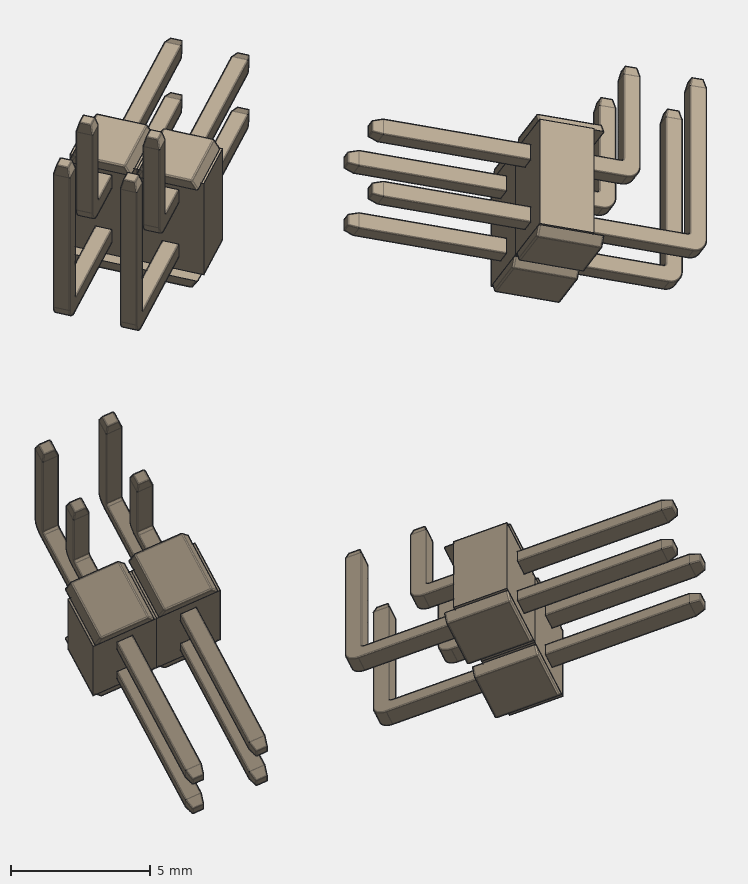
import cadquery as cq


position_count = 2
pitch = 2.54

block_width = pitch
block_depth = 2.08
block_height = 4.25

cap_outer_height = 5.0
cap_depth = 2.5
cap_thickness = (cap_outer_height - block_height) / 2
cap_base_width = 2.36
cap_outer_width = 1.9
cap_fillet = 0.06

pin_width = 0.64
pin_edge_fillet = 0.04
bend_outer_radius = 0.51
bend_inner_radius = 0.1
tip_length = 0.4
tip_end_width = 0.45
pin_rear_y = 6.02
long_leg_front_y = -6.74
pin_top_z = 5.5
long_leg_y = long_leg_front_y + pin_width / 2
short_leg_y = long_leg_y + pitch
upper_tail_z = pitch / 2
lower_tail_z = -pitch / 2
length_tolerance = 0.0001


def row_positions():
    """X of the centre of every position in the row."""
    return [(i - (position_count - 1) / 2) * pitch for i in range(position_count)]


def make_tip(plane):
    """Taper from the full pin section down to the end section, along the plane's normal."""
    return (
        cq.Workplane(plane)
        .rect(pin_width, pin_width)
        .workplane(offset=tip_length)
        .rect(tip_end_width, tip_end_width)
        .loft()
    )


def round_pin(pin):
    """Round every edge that runs along the pin or around its ends.

    The edges left sharp cross the pin, at the ends of the bends and the roots of the tips.
    They are the only edges exactly as long as the pin is wide.
    """
    rounded_edges = pin.edges().filter(lambda edge: abs(edge.Length() - pin_width) > length_tolerance)
    return rounded_edges.fillet(pin_edge_fillet)


def make_pin(x, tail_z, leg_y):
    """L-shaped square pin: a tail along Y at height tail_z, and a leg rising along Z at leg_y."""
    half = pin_width / 2
    shaft_rear_y = pin_rear_y - tip_length
    shaft_top_z = pin_top_z - tip_length

    shaft = (
        cq.Workplane("YZ", origin=(x - half, 0, 0))
        .moveTo(shaft_rear_y, tail_z - half)
        .lineTo(leg_y - half, tail_z - half)
        .lineTo(leg_y - half, shaft_top_z)
        .lineTo(leg_y + half, shaft_top_z)
        .lineTo(leg_y + half, tail_z + half)
        .lineTo(shaft_rear_y, tail_z + half)
        .close()
        .extrude(pin_width)
    )
    outer_corner = cq.selectors.NearestToPointSelector((x, leg_y - half, tail_z - half))
    shaft = shaft.edges(outer_corner).fillet(bend_outer_radius)
    inner_corner = cq.selectors.NearestToPointSelector((x, leg_y + half, tail_z + half))
    shaft = shaft.edges(inner_corner).fillet(bend_inner_radius)

    leg_tip = make_tip(cq.Plane((x, leg_y, shaft_top_z), (1, 0, 0), (0, 0, 1)))
    tail_tip = make_tip(cq.Plane((x, shaft_rear_y, tail_z), (1, 0, 0), (0, 1, 0)))
    return round_pin(shaft.union(leg_tip).union(tail_tip))


def make_cap(x, side):
    """Cap on the top (side = 1) or bottom (side = -1) of a block, narrowing away from it."""
    inner_z = side * block_height / 2
    outer_z = side * (block_height / 2 + cap_thickness)
    cap = (
        cq.Workplane("XZ")
        .moveTo(x - cap_base_width / 2, inner_z)
        .lineTo(x + cap_base_width / 2, inner_z)
        .lineTo(x + cap_outer_width / 2, outer_z)
        .lineTo(x - cap_outer_width / 2, outer_z)
        .close()
        .extrude(cap_depth)
    )
    exposed_edges = "not <Z" if side > 0 else "not >Z"
    return cap.edges(exposed_edges).fillet(cap_fillet)


def make_block(x, pins):
    """Plain block with a hole fitting each of its pins."""
    centre = (x, -block_depth / 2, 0)
    block = cq.Workplane("XY", origin=centre).box(block_width, block_depth, block_height)
    for pin in pins:
        block = block.cut(pin)
    return block


bodies = []
for x in row_positions():
    pins = [make_pin(x, lower_tail_z, long_leg_y), make_pin(x, upper_tail_z, short_leg_y)]
    caps = [make_cap(x, side) for side in (1, -1)]
    bodies += [make_block(x, pins), *caps, *pins]

result = cq.Compound.makeCompound([body.val() for body in bodies])